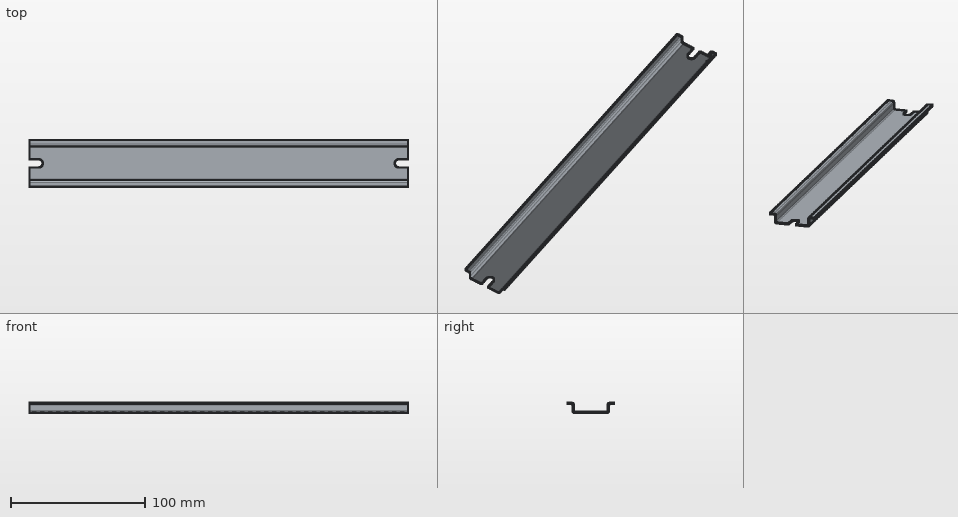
import cadquery as cq

length = 282.0
width = 35.0
height = 7.5

sheet = 1.0
channel_width = 27.0
inner_radius = 0.8
outer_radius = inner_radius + sheet

slot_width = 6.0
slot_depth = 10.0


def slab(size_y, size_z, bottom):
    """Full-length bar centred on Y, standing on the given Z level."""
    return cq.Workplane("XY").box(length, size_y, size_z, centered=(True, True, False)).translate((0, 0, bottom))


def make_rail():
    """Hat section: floor, two side walls and two outward lips, with rounded bends."""
    half_channel = channel_width / 2
    half_inside = half_channel - sheet
    lip_underside = height - sheet
    channel = slab(channel_width, height, 0)
    channel = channel.edges("|X and <Z").fillet(outer_radius)
    lips = slab(width, sheet, lip_underside)
    outside = channel.union(lips)

    lip_bends = cq.selectors.BoxSelector(
        (-length, -half_channel - sheet / 2, lip_underside - sheet / 2),
        (length, half_channel + sheet / 2, lip_underside + sheet / 2),
    )
    outside = outside.edges("|X").edges(lip_bends).fillet(inner_radius)

    hollow = slab(2 * half_inside, height - sheet, sheet)
    hollow = hollow.edges("|X and <Z").fillet(inner_radius)
    rail = outside.cut(hollow)
    mouth = cq.selectors.BoxSelector(
        (-length, -half_inside - sheet / 2, height - sheet / 2),
        (length, half_inside + sheet / 2, height + sheet / 2),
    )
    return rail.edges("|X").edges(mouth).fillet(outer_radius)


def make_end_slot(end):
    """Round-ended slot cut through the floor from one end (-1 or +1)."""
    return (
        cq.Workplane("XY")
        .center(end * length / 2, 0)
        .slot2D(2 * slot_depth, slot_width)
        .extrude(height)
    )


result = make_rail()
for end in (-1, 1):
    result = result.cut(make_end_slot(end))